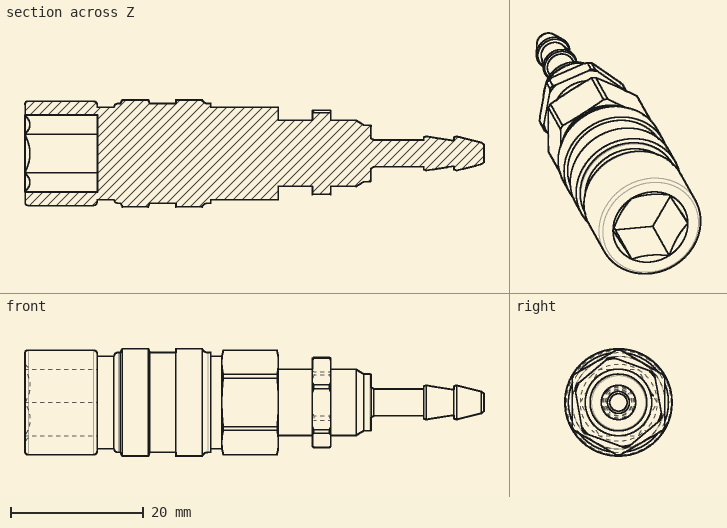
import cadquery as cq
import math

total_length = 69.15

head_diameter = 15.8
head_end = 10.9
head_front_rounding = 0.5
head_rear_rounding = 0.6

socket_flats = 10.0
socket_depth = head_end
socket_lead_in_angle = 45.0

neck_diameter = 14.0

sleeve_start = 13.4
sleeve_end = 28.0
sleeve_rim_diameter = 15.1
sleeve_front_rounding = 0.6
band_diameter = 16.2
band_bevel_start = 14.4
band_start = 14.65
band_end = 26.7
rear_cove_end = 27.5
rear_cove_radius = 0.9
groove_start = 18.6
groove_end = 22.75
groove_bevel = 0.2

body_hex_start = 29.65
body_hex_end = 38.2
body_hex_flats = 14.0
body_hex_corners = 15.8
body_hex_turn = 30.0
body_hex_bevel = 0.2
nut_start = 43.3
nut_end = 46.05
nut_flats = 12.2
nut_corners = 13.7
nut_chamfer = 0.2
nut_turn = -20.0

shank_diameter = 10.0
shank_end = 49.85
shank_tip_diameter = 8.6
shank_taper_end = 51.0
shank_tip_end = 52.15
shank_tip_rounding = 0.2

stem_diameter = 4.1
stem_collar_diameter = 4.55
stem_collar_end = 52.55
barb_diameter = 5.2
barb_starts = (60.0, 64.6)
barb_lip = 0.4
barb_lip_depth = 0.15
barb_waist_diameter = 3.9
tip_shoulder_diameter = 3.3
tip_diameter = 2.6
tip_rounding_length = 0.4


def turned_profile(points):
    """Solid of revolution about X from (x, radius) points along the outer edge."""
    outline = [(points[0][0], 0), *points, (points[-1][0], 0)]
    return cq.Workplane("XY").polyline(outline).close().revolve(360, (0, 0), (1, 0))


def cylinder_x(start, end, diameter):
    return turned_profile([(start, diameter / 2), (end, diameter / 2)])


def hexagon_bar(start, end, flats, turn=0):
    """Hexagonal bar along X; at turn = 0 one pair of corners lies along Y."""
    corners = flats / math.cos(math.pi / 6)
    bar = cq.Workplane("YZ", origin=(start, 0, 0)).polygon(6, corners).extrude(end - start)
    return bar.rotate((0, 0, 0), (1, 0, 0), turn)


def make_body_hexagon():
    corner_radius = body_hex_corners / 2
    flat_radius = body_hex_flats / 2
    envelope = turned_profile([
        (body_hex_start, flat_radius),
        (body_hex_start + body_hex_bevel, corner_radius),
        (body_hex_end - body_hex_bevel, corner_radius),
        (body_hex_end, flat_radius),
    ])
    return hexagon_bar(body_hex_start, body_hex_end, body_hex_flats, body_hex_turn).intersect(envelope)


def make_nut():
    envelope = cylinder_x(nut_start, nut_end, nut_corners).faces("<X or >X").chamfer(nut_chamfer)
    return hexagon_bar(nut_start, nut_end, nut_flats, nut_turn).intersect(envelope)


def make_head():
    return (
        cylinder_x(0, head_end, head_diameter)
        .faces("<X").edges().fillet(head_front_rounding)
        .faces(">X").edges().fillet(head_rear_rounding)
    )


def make_socket_cut():
    mouth_radius = socket_flats / 2 / math.cos(math.pi / 6)
    flat_radius = socket_flats / 2
    lead_in_depth = (mouth_radius - flat_radius) * math.tan(math.radians(socket_lead_in_angle))
    lead_in = turned_profile([(0, mouth_radius), (lead_in_depth, flat_radius)])
    return hexagon_bar(0, socket_depth, socket_flats).union(lead_in)


def make_sleeve():
    rim = sleeve_rim_diameter / 2
    band = band_diameter / 2
    return (
        cq.Workplane("XY")
        .moveTo(sleeve_start, 0)
        .lineTo(sleeve_start, rim - sleeve_front_rounding)
        .radiusArc((sleeve_start + sleeve_front_rounding, rim), sleeve_front_rounding)
        .lineTo(band_bevel_start, rim)
        .lineTo(band_start, band)
        .lineTo(groove_start, band)
        .lineTo(groove_start + groove_bevel, rim)
        .lineTo(groove_end, rim)
        .lineTo(groove_end, band)
        .lineTo(band_end, band)
        .radiusArc((rear_cove_end, rim), -rear_cove_radius)
        .lineTo(sleeve_end, rim)
        .lineTo(sleeve_end, 0)
        .close()
        .revolve(360, (0, 0), (1, 0))
    )


def make_shank():
    shank = turned_profile([
        (body_hex_end, shank_diameter / 2),
        (shank_end, shank_diameter / 2),
        (shank_taper_end, shank_tip_diameter / 2),
        (shank_tip_end, shank_tip_diameter / 2),
    ])
    return shank.faces(">X").edges().fillet(shank_tip_rounding)


def make_barb(start, end, end_diameter):
    radius = barb_diameter / 2
    return turned_profile([
        (start, radius - barb_lip_depth),
        (start + barb_lip, radius),
        (end, end_diameter / 2),
    ])


def make_hose_stem():
    first_barb, second_barb = barb_starts
    tip_shoulder = total_length - tip_rounding_length
    stem = turned_profile([
        (shank_tip_end, stem_collar_diameter / 2),
        (stem_collar_end, stem_diameter / 2),
        (first_barb, stem_diameter / 2),
    ])
    tip = turned_profile([
        (tip_shoulder, tip_shoulder_diameter / 2),
        (total_length, tip_diameter / 2),
    ])
    return (
        stem
        .union(make_barb(first_barb, second_barb, barb_waist_diameter))
        .union(make_barb(second_barb, tip_shoulder, tip_shoulder_diameter))
        .union(tip)
    )


neck = cylinder_x(head_end, body_hex_start, neck_diameter)

result = make_head().cut(make_socket_cut())
for section in (
    neck,
    make_sleeve(),
    make_body_hexagon(),
    make_shank(),
    make_nut(),
    make_hose_stem(),
):
    result = result.union(section)